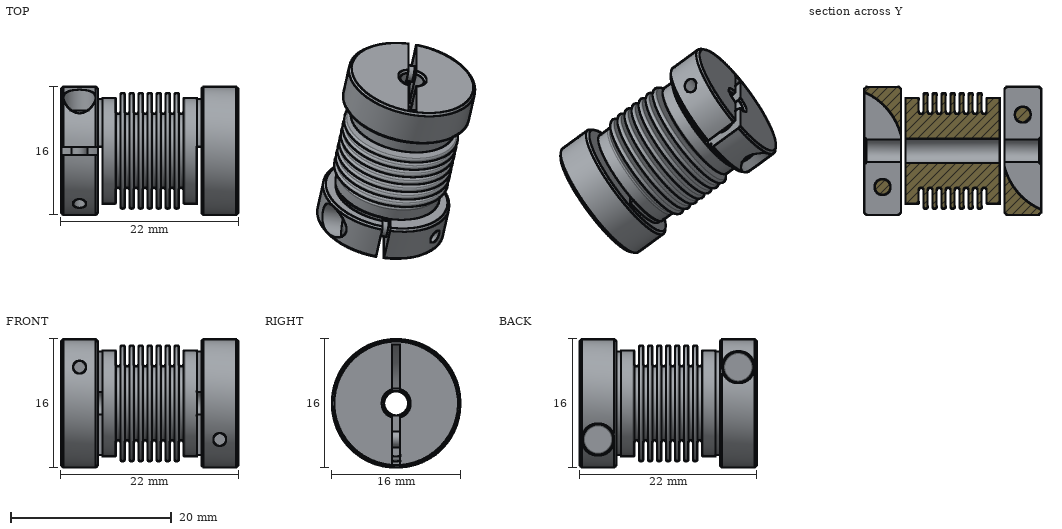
import cadquery as cq


total_length = 22.04
bore_radius = 1.5
bore_chamfer = 0.3

ring_count = 7
ring_width = 0.56
bellows_crest_radius = 7.22
bellows_root_radius = 4.6
valley_count = ring_count + 1
bellows_length = (ring_count + valley_count) * ring_width

hub_radius = 8.0
hub_width = 4.6
hub_chamfer = 0.3

flange_radius = 6.6
flange_width = 1.68
flange_fillet = 0.2
neck_radius = 6.47

slot_width = 1.0
saw_radius = 7.94
saw_reach = 4.82

screw_height = 4.5
shank_radius = 1.0
shank_tip_y = -4.0
threaded_hole_radius = 0.8
head_radius = 1.9
head_top_y = 5.0
head_length = 2.0
head_fillet = 0.2
counterbore_radius = 2.0

hub_outer_x = -total_length / 2
hub_inner_x = hub_outer_x + hub_width
hub_middle_x = hub_outer_x + hub_width / 2
flange_inner_x = -bellows_length / 2
flange_outer_x = flange_inner_x - flange_width
neck_length = flange_outer_x - hub_inner_x
head_seat_y = head_top_y - head_length


def cylinder_x(radius, start_x, length):
    """Cylinder on the shaft axis."""
    return cq.Workplane("YZ").workplane(offset=start_x).circle(radius).extrude(length)


def cylinder_y(radius, start_y, end_y):
    """Cylinder on the screw axis, from start_y up to end_y."""
    axis_point = cq.Workplane("XZ", origin=(hub_middle_x, start_y, screw_height))
    return axis_point.circle(radius).extrude(start_y - end_y)


def make_bellows():
    """Solid of revolution whose profile alternates half-round valleys and rings."""
    round_radius = ring_width / 2
    valley_edge = bellows_root_radius + round_radius
    ring_edge = bellows_crest_radius - round_radius
    x = flange_inner_x
    profile = cq.Workplane("XY").moveTo(x, 0).lineTo(x, valley_edge)
    for index in range(valley_count):
        valley_bottom = (x + round_radius, bellows_root_radius)
        x += ring_width
        profile = profile.threePointArc(valley_bottom, (x, valley_edge))
        if index < ring_count:
            ring_top = (x + round_radius, bellows_crest_radius)
            profile = profile.lineTo(x, ring_edge)
            x += ring_width
            profile = profile.threePointArc(ring_top, (x, ring_edge)).lineTo(x, valley_edge)
    return profile.lineTo(x, 0).close().revolve(360, (0, 0, 0), (1, 0, 0))


def make_hub_body():
    """Hub, half-round neck on the +Y side and bellows flange, with a chamfered bore."""
    hub = cylinder_x(hub_radius, hub_outer_x, hub_width).faces("<X or >X").chamfer(hub_chamfer)
    neck_side = cq.Workplane("XY").box(
        total_length, hub_radius, 2 * hub_radius, centered=(True, False, True)
    ).translate((0, slot_width / 2, 0))
    neck = cylinder_x(neck_radius, hub_inner_x, neck_length).intersect(neck_side)
    flange = cylinder_x(flange_radius, flange_outer_x, flange_width).faces(">X").fillet(flange_fillet)
    body = hub.union(neck).union(flange)
    body = body.cut(cylinder_x(bore_radius, hub_outer_x, -hub_outer_x))
    bore_rim = cq.Solid.makeCone(
        bore_radius + bore_chamfer,
        bore_radius,
        bore_chamfer,
        pnt=cq.Vector(hub_outer_x, 0, 0),
        dir=cq.Vector(1, 0, 0),
    )
    return body.cut(cq.Workplane(obj=bore_rim))


def make_slot_cutter():
    """Full slot above the bore, and a saw-blade disc for the arc below it."""
    upper_slot = cq.Workplane("XY").box(
        hub_width, slot_width, hub_radius, centered=(False, True, False)
    ).translate((hub_outer_x, 0, 0))
    saw_center_x = hub_outer_x + saw_reach - saw_radius
    saw_blade = (
        cq.Workplane("XZ", origin=(saw_center_x, 0, 0))
        .circle(saw_radius)
        .extrude(slot_width / 2, both=True)
    )
    return upper_slot.union(saw_blade)


def make_clamp():
    """Complete clamping end on the -X side, with its screw in place."""
    counterbore = cylinder_y(counterbore_radius, head_seat_y, hub_radius)
    threaded_hole = cylinder_y(threaded_hole_radius, -hub_radius, shank_tip_y)
    shank = cylinder_y(shank_radius, shank_tip_y, head_seat_y)
    head = cylinder_y(head_radius, head_seat_y, head_top_y).faces(">Y").edges().fillet(head_fillet)
    clamp = make_hub_body().cut(make_slot_cutter())
    clamp = clamp.cut(counterbore).cut(threaded_hole)
    return clamp.union(shank).union(head)


left_clamp = make_clamp()
right_clamp = left_clamp.rotate((0, 0, 0), (0, 1, 0), 180)
bellows = make_bellows().cut(cylinder_x(bore_radius, flange_inner_x, bellows_length))

result = left_clamp.union(bellows).union(right_clamp)